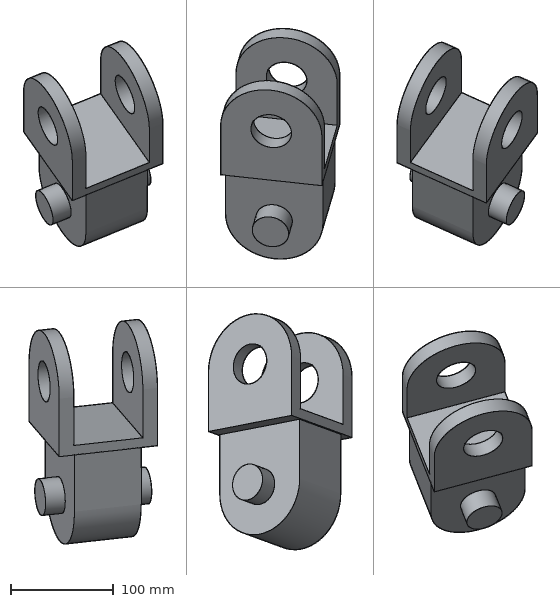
import cadquery as cq

fork_width = 100.0
ear_thickness = 15.0
ear_hole_diameter = 40.0
ear_hole_height = 50.0
plate_thickness = 10.0

tongue_width = 96.0
tongue_thickness = 68.0
pin_drop = 60.0

pin_diameter = 36.0
pin_length = 108.0

pin_z = 0.0
plate_bottom = pin_z + pin_drop
plate_top = plate_bottom + plate_thickness
ear_hole_z = plate_top + ear_hole_height


def round_ended_slab(width, thickness, round_z, flat_z):
    """Slab centred on Y = 0, square at flat_z and fully rounded about round_z."""
    half_width = width / 2
    outward = 1 if round_z > flat_z else -1
    return (
        cq.Workplane("XZ")
        .moveTo(-half_width, flat_z)
        .lineTo(-half_width, round_z)
        .threePointArc((0, round_z + outward * half_width), (half_width, round_z))
        .lineTo(half_width, flat_z)
        .close()
        .extrude(thickness / 2, both=True)
    )


def cylinder_along_y(diameter, length, z):
    """Cylinder centred on Y = 0 with its axis along Y at height z."""
    return cq.Workplane("XZ").center(0, z).circle(diameter / 2).extrude(length / 2, both=True)


def make_base_plate():
    return (
        cq.Workplane("XY")
        .workplane(offset=plate_bottom)
        .rect(fork_width, fork_width)
        .extrude(plate_thickness)
    )


def make_ear(side):
    """Ear with its outer face flush with the plate edge; side is -1 or +1 along Y."""
    ear = round_ended_slab(fork_width, ear_thickness, ear_hole_z, plate_top)
    ear = ear.cut(cylinder_along_y(ear_hole_diameter, ear_thickness, ear_hole_z))
    return ear.translate((0, side * (fork_width - ear_thickness) / 2, 0))


result = make_base_plate()
for side in (-1, 1):
    result = result.union(make_ear(side))
result = result.union(round_ended_slab(tongue_width, tongue_thickness, pin_z, plate_bottom))
result = result.union(cylinder_along_y(pin_diameter, pin_length, pin_z))